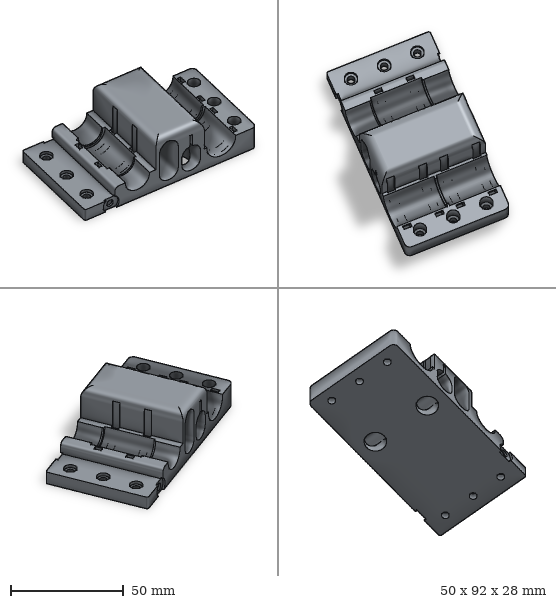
import cadquery as cq

LENGTH = 92.0
WIDTH = 50.0
HEIGHT = 28.0
DECK_HEIGHT = 12.0
REAR_CORNER_RADIUS = 2.5
FRONT_CORNER_RADIUS = 1.0

FLANGE_HEIGHT = 6.3
FLANGE_REAR_Y = -30.0
DECK_EDGE_RADIUS = 2.5

HOUSING_FRONT_Y = -8.0
HOUSING_REAR_Y = 17.9
HOUSING_EDGE_RADIUS = 5.0

TROUGH_FLAT = 0.3
WIDE_TROUGH_RADIUS = 7.7
WIDE_TROUGH_DEPTH = 8.0
NARROW_TROUGH_RADIUS = 6.4
NARROW_TROUGH_DEPTH = 6.8
REAR_TROUGH_Y = 27.05
FRONT_TROUGH_Y = -17.85
DIVIDER_THICKNESS = 1.0
POCKET_LENGTH = 24.5
SEAT_RING_LENGTH = 26.1

TIE_OUTER_RADIUS = 10.2
TIE_INNER_RADIUS = 8.6
REAR_TIE_WIDTH = 3.8
REAR_TIE_POSITIONS = (-20.6, -5.1, 5.1, 20.6)
FRONT_TIE_WIDTH = 3.5
FRONT_TIE_POSITIONS = (-7.7, 7.7)

PASSAGE_FLOOR = 3.0
PASSAGE_RADIUS = 4.9
LOW_PASSAGE_Y = 10.95
LOW_PASSAGE_WIDTH = 10.0
LOW_PASSAGE_TOP = 16.8
TALL_PASSAGE_Y = -1.0
TALL_PASSAGE_WIDTH = 10.0
TALL_PASSAGE_TOP = 24.9
SLIT_WIDTH = 1.3

FLOOR_HOLE_DIAMETER = 9.9
FLOOR_HOLE_SPACING = 30.0

SCREW_SPACING = 16.0
SCREW_DIAMETER = 3.4
SCREW_HEAD_DIAMETER = 6.0
SCREW_SEAT_HEIGHT = 4.7
REAR_SCREW_Y = 40.0
FRONT_SCREW_Y = -39.0

HINGE_Y = -31.9
HINGE_Z = 3.0
HINGE_RECESS_RADIUS = 4.2
HINGE_RECESS_DEPTH = 1.0
HINGE_PIN_DIAMETER = 3.4
HINGE_PIN_DEPTH = 1.0


def block(x_range, y_range, z_range):
    """Axis-aligned box given by its limits."""
    size = [high - low for low, high in (x_range, y_range, z_range)]
    corner = (x_range[0], y_range[0], z_range[0])
    return cq.Workplane("XY").box(*size, centered=False).translate(corner)


def along_x(length, x=0.0):
    """YZ workplane from which a body of this length, centred on x, is extruded."""
    return cq.Workplane("YZ", origin=(x - length / 2, 0, 0))


def make_body():
    half_width = WIDTH / 2
    half_length = LENGTH / 2
    across = (-half_width, half_width)
    flange = block(across, (-half_length, FLANGE_REAR_Y), (0, FLANGE_HEIGHT))
    flange = flange.edges("|Z and <Y").fillet(FRONT_CORNER_RADIUS)
    deck = block(across, (FLANGE_REAR_Y, half_length), (0, DECK_HEIGHT))
    deck = deck.edges("|Z and >Y").fillet(REAR_CORNER_RADIUS)
    deck = deck.edges("|X and <Y and >Z").fillet(DECK_EDGE_RADIUS)
    housing = block(across, (HOUSING_FRONT_Y, HOUSING_REAR_Y), (0, HEIGHT))
    housing = housing.faces(">Z").edges().fillet(HOUSING_EDGE_RADIUS)
    return deck.union(flange).union(housing)


def trough(y, radius, depth, length):
    """Open U-shaped cutter: straight sides, two bottom arcs joined by a narrow flat."""
    arc_radius = radius - TROUGH_FLAT / 2
    height = 2 * depth
    cutter = along_x(length).center(y, DECK_HEIGHT).rect(2 * radius, height).extrude(length)
    return cutter.edges("|X and <Z").fillet(arc_radius)


def round_trough(y, length):
    """Open U-shaped cutter of the narrow size with one continuous arc along its bottom."""
    radius = NARROW_TROUGH_RADIUS
    arc_z = DECK_HEIGHT - NARROW_TROUGH_DEPTH + radius
    return (
        along_x(length)
        .moveTo(y - radius, DECK_HEIGHT)
        .lineTo(y - radius, arc_z)
        .threePointArc((y, arc_z - radius), (y + radius, arc_z))
        .lineTo(y + radius, DECK_HEIGHT)
        .close()
        .extrude(length)
    )


def cut_troughs(body):
    bay_length = (WIDTH - DIVIDER_THICKNESS) / 2
    bay_shift = (bay_length + DIVIDER_THICKNESS) / 2
    bay = trough(REAR_TROUGH_Y, WIDE_TROUGH_RADIUS, WIDE_TROUGH_DEPTH, bay_length)
    for side in (-1, 1):
        body = body.cut(bay.translate((side * bay_shift, 0, 0)))
    body = body.cut(trough(REAR_TROUGH_Y, NARROW_TROUGH_RADIUS, NARROW_TROUGH_DEPTH, WIDTH))
    body = body.cut(round_trough(FRONT_TROUGH_Y, WIDTH))
    body = body.cut(trough(FRONT_TROUGH_Y, NARROW_TROUGH_RADIUS, NARROW_TROUGH_DEPTH, SEAT_RING_LENGTH))
    return body.cut(trough(FRONT_TROUGH_Y, WIDE_TROUGH_RADIUS, WIDE_TROUGH_DEPTH, POCKET_LENGTH))


def tie_tunnel(x, y, width):
    """U-shaped band: a half ring below the deck whose legs rise above the housing."""

    def solid_u(radius):
        return (
            along_x(width, x)
            .moveTo(y - radius, HEIGHT)
            .lineTo(y - radius, DECK_HEIGHT)
            .threePointArc((y, DECK_HEIGHT - radius), (y + radius, DECK_HEIGHT))
            .lineTo(y + radius, HEIGHT)
            .close()
            .extrude(width)
        )

    return solid_u(TIE_OUTER_RADIUS).cut(solid_u(TIE_INNER_RADIUS))


def cut_tie_tunnels(body):
    for x in REAR_TIE_POSITIONS:
        body = body.cut(tie_tunnel(x, REAR_TROUGH_Y, REAR_TIE_WIDTH))
    for x in FRONT_TIE_POSITIONS:
        body = body.cut(tie_tunnel(x, FRONT_TROUGH_Y, FRONT_TIE_WIDTH))
    return body


def passage(y, width, top):
    """Upright rounded-end cutter running the full width of the part."""
    height = top - PASSAGE_FLOOR
    middle = (top + PASSAGE_FLOOR) / 2
    cutter = along_x(WIDTH).center(y, middle).rect(width, height).extrude(WIDTH)
    return cutter.edges("|X").fillet(PASSAGE_RADIUS)


def cut_passages(body):
    half_width = WIDTH / 2
    slit = block(
        (-half_width, half_width),
        (LOW_PASSAGE_Y - SLIT_WIDTH / 2, LOW_PASSAGE_Y + SLIT_WIDTH / 2),
        (LOW_PASSAGE_TOP - PASSAGE_RADIUS, HEIGHT - HOUSING_EDGE_RADIUS),
    )
    body = body.cut(passage(LOW_PASSAGE_Y, LOW_PASSAGE_WIDTH, LOW_PASSAGE_TOP))
    body = body.cut(passage(TALL_PASSAGE_Y, TALL_PASSAGE_WIDTH, TALL_PASSAGE_TOP))
    return body.cut(slit)


def cut_floor_holes(body):
    points = [(side * FLOOR_HOLE_SPACING / 2, LOW_PASSAGE_Y) for side in (-1, 1)]
    height = (PASSAGE_FLOOR + LOW_PASSAGE_TOP) / 2
    holes = cq.Workplane("XY").pushPoints(points).circle(FLOOR_HOLE_DIAMETER / 2).extrude(height)
    return body.cut(holes)


def cut_screw_holes(body):
    points = [(i * SCREW_SPACING, y) for i in (-1, 0, 1) for y in (REAR_SCREW_Y, FRONT_SCREW_Y)]
    shanks = cq.Workplane("XY").pushPoints(points).circle(SCREW_DIAMETER / 2).extrude(DECK_HEIGHT)
    seat = cq.Workplane("XY", origin=(0, 0, SCREW_SEAT_HEIGHT))
    heads = seat.pushPoints(points).circle(SCREW_HEAD_DIAMETER / 2).extrude(DECK_HEIGHT)
    return body.cut(shanks).cut(heads)


def cut_hinges(body):
    side_face = cq.Workplane("YZ", origin=(-WIDTH / 2, 0, 0)).center(HINGE_Y, HINGE_Z)
    recess = side_face.circle(HINGE_RECESS_RADIUS).extrude(HINGE_RECESS_DEPTH)
    pin_hole = side_face.circle(HINGE_PIN_DIAMETER / 2).extrude(HINGE_RECESS_DEPTH + HINGE_PIN_DEPTH)
    hinge = recess.union(pin_hole)
    return body.cut(hinge).cut(hinge.mirror("YZ"))


result = make_body()
result = cut_troughs(result)
result = cut_tie_tunnels(result)
result = cut_passages(result)
result = cut_floor_holes(result)
result = cut_screw_holes(result)
result = cut_hinges(result)